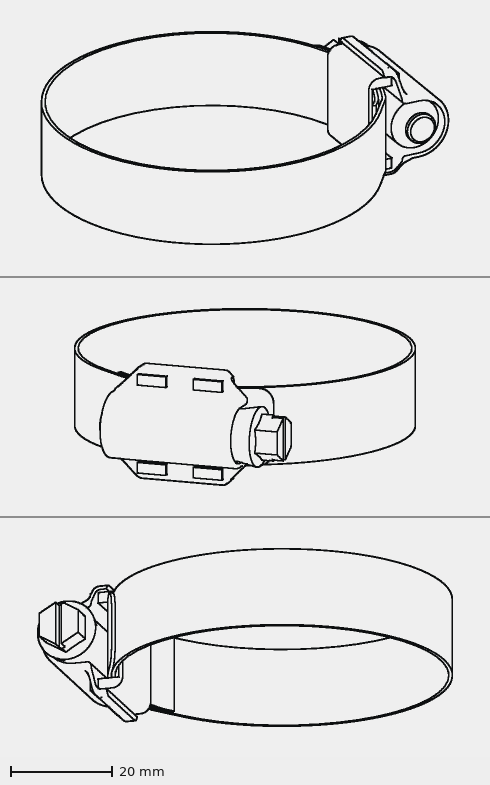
import cadquery as cq
import math


overall_length_y = 79.4

hoop_outer_diameter = 67.4
hoop_outer_radius = hoop_outer_diameter / 2
band_thickness = 0.7
band_half_width = 7.85
layer_gap = 0.04
ring_radius = hoop_outer_radius - band_thickness / 2
over_radius = ring_radius + band_thickness + layer_gap
under_radius = ring_radius - band_thickness - layer_gap
tongue_tip_radius = 32.15
over_start = -30
over_end = 23.7
ring_start = 35.1
ring_end = 368.7
under_start = 380.6
under_end = 385
tongue_tip = 390
tail_corner_radius = 3.2

hood_outer_radius = 6.7
screw_axis_y = overall_length_y - hoop_outer_radius - hood_outer_radius
head_end_x = -22.9
head_base_x = -18.3
hex_across_flats = 8.1
slot_width = 1.2
slot_depth = 2.3
hex_corner_radius = hex_across_flats / math.sqrt(3)
flange_x = -17.7
flange_radius = 6.0
worm_radius = 5.25
worm_end_x = 11.7
stub_radius = 3.1
stub_end_x = 15.1
stub_chamfer = 0.5

sheet_thickness = 1.0
housing_half_length = 13.65
hood_inner_radius = hood_outer_radius - sheet_thickness
rim_radius = 0.5
wing_top_y = 36.3
wing_bottom_y = wing_top_y - sheet_thickness
root_bend_outer = 1.6
root_bend_inner = 0.8
hook_half_width = 11.5
hook_thickness = 1.2
hook_inner_z = hook_half_width - hook_thickness
hook_end_y = 33.3
hook_bend_outer = 1.5
hook_bend_inner = 0.95
hook_corner_x = 8.8
hook_corner_radius = 1.1

saddle_half_length = 9.05
saddle_half_width = 10.0
saddle_bottom_y = 30.2
saddle_floor_thickness = 0.8
saddle_corner_radius = 2.15
tab_top_y = 37.0
tab_inner_x = 2.9
tab_outer_x = 8.9


def polar(radius, degrees):
    """Point of the hoop plane at an angle measured from +Y toward +X."""
    angle = math.radians(degrees)
    return (radius * math.sin(angle), radius * math.cos(angle))


def trace_band_face(outline, stations, offset):
    """Follow the stations: arcs where the radius stays the same, straight jogs where it changes."""
    for (radius_a, angle_a), (radius_b, angle_b) in zip(stations, stations[1:]):
        end = polar(radius_b + offset, angle_b)
        if radius_a == radius_b:
            middle = polar(radius_a + offset, (angle_a + angle_b) / 2)
            outline = outline.threePointArc(middle, end)
        else:
            outline = outline.lineTo(*end)
    return outline


def make_band(screw):
    stations = [
        (over_radius, over_start),
        (over_radius, over_end),
        (ring_radius, ring_start),
        (ring_radius, ring_end),
        (under_radius, under_start),
        (under_radius, under_end),
        (tongue_tip_radius, tongue_tip),
    ]
    half = band_thickness / 2
    outline = cq.Workplane("XY").moveTo(*polar(over_radius + half, over_start))
    outline = trace_band_face(outline, stations, half)
    outline = outline.lineTo(*polar(tongue_tip_radius - half, tongue_tip))
    outline = trace_band_face(outline, stations[::-1], -half).close()
    strip = outline.extrude(band_half_width, both=True)

    tail = polar(over_radius, over_start)
    near_tail = cq.selectors.BoxSelector(
        (tail[0] - band_thickness, tail[1] - band_thickness, -2 * band_half_width),
        (tail[0] + band_thickness, tail[1] + band_thickness, 2 * band_half_width),
    )
    radial_edges = cq.selectors.ParallelDirSelector(cq.Vector(tail[0], tail[1], 0))
    strip = strip.edges(cq.selectors.AndSelector(near_tail, radial_edges)).fillet(tail_corner_radius)

    return strip.cut(screw)


def make_screw():
    taper_end_x = -housing_half_length
    worm_tip_x = worm_end_x + worm_radius - stub_radius
    turned = (
        cq.Workplane("XY")
        .moveTo(head_base_x, 0)
        .lineTo(head_base_x, hex_across_flats / 2)
        .lineTo(flange_x, flange_radius)
        .lineTo(taper_end_x, worm_radius)
        .lineTo(worm_end_x, worm_radius)
        .lineTo(worm_tip_x, stub_radius)
        .lineTo(stub_end_x - stub_chamfer, stub_radius)
        .lineTo(stub_end_x, stub_radius - stub_chamfer)
        .lineTo(stub_end_x, 0)
        .close()
        .revolve(360, (0, 0, 0), (1, 0, 0))
    )
    hexagon = (
        cq.Workplane("YZ", origin=(head_end_x, 0, 0))
        .transformed(rotate=(0, 0, 90))
        .polygon(6, 2 * hex_corner_radius)
        .extrude(flange_x - head_end_x)
    )
    slot = cq.Workplane("XY").box(2 * slot_depth, slot_width, 2 * flange_radius)
    slot = slot.translate((head_end_x, 0, 0))
    return turned.union(hexagon).cut(slot).translate((0, screw_axis_y, 0))


def make_saddle():
    length = 2 * saddle_half_length
    block = (
        cq.Workplane("XY")
        .box(length, tab_top_y - saddle_bottom_y, 2 * saddle_half_width)
        .translate((0, (tab_top_y + saddle_bottom_y) / 2, 0))
        .edges("|X and <Y")
        .fillet(saddle_corner_radius)
    )
    floor_y = saddle_bottom_y + saddle_floor_thickness
    channel = (
        cq.Workplane("XY")
        .box(length, tab_top_y - floor_y, 2 * band_half_width)
        .translate((0, (tab_top_y + floor_y) / 2, 0))
    )
    saddle = block.cut(channel)

    tab_height = tab_top_y - wing_bottom_y
    above_arms = (
        cq.Workplane("XY")
        .box(length, tab_height, 2 * saddle_half_width)
        .translate((0, (tab_top_y + wing_bottom_y) / 2, 0))
    )
    for side in (-1, 1):
        tab_space = (
            cq.Workplane("XY")
            .box(tab_outer_x - tab_inner_x, tab_height, 2 * saddle_half_width)
            .translate((side * (tab_outer_x + tab_inner_x) / 2, (tab_top_y + wing_bottom_y) / 2, 0))
        )
        above_arms = above_arms.cut(tab_space)
    return saddle.cut(above_arms)


def sheet_half():
    """The hood, root bend, wing and hook of the +Z half, extruded along the housing."""
    diagonal = math.sqrt(0.5)

    def arc(outline, center, radius, toward, end):
        middle = (
            center[0] + toward[0] * radius * diagonal,
            center[1] + toward[1] * radius * diagonal,
        )
        return outline.threePointArc(middle, end)

    axis = (screw_axis_y, 0)
    root_outer = (wing_top_y + root_bend_outer, hood_outer_radius + root_bend_outer)
    root_inner = (wing_bottom_y + root_bend_inner, hood_inner_radius + root_bend_inner)
    hook_outer = (wing_top_y - hook_bend_outer, hook_half_width - hook_bend_outer)
    hook_inner = (wing_bottom_y - hook_bend_inner, hook_inner_z - hook_bend_inner)

    outline = cq.Workplane("YZ").moveTo(screw_axis_y + hood_outer_radius, 0)
    outline = arc(outline, axis, hood_outer_radius, (1, 1), (screw_axis_y, hood_outer_radius))
    outline = outline.lineTo(root_outer[0], hood_outer_radius)
    outline = arc(outline, root_outer, root_bend_outer, (-1, -1), (wing_top_y, root_outer[1]))
    outline = outline.lineTo(wing_top_y, hook_outer[1])
    outline = arc(outline, hook_outer, hook_bend_outer, (1, 1), (hook_outer[0], hook_half_width))
    outline = outline.lineTo(hook_end_y, hook_half_width)
    outline = outline.lineTo(hook_end_y, hook_inner_z)
    outline = outline.lineTo(hook_inner[0], hook_inner_z)
    outline = arc(outline, hook_inner, hook_bend_inner, (1, 1), (wing_bottom_y, hook_inner[1]))
    outline = outline.lineTo(wing_bottom_y, root_inner[1])
    outline = arc(outline, root_inner, root_bend_inner, (-1, -1), (root_inner[0], hood_inner_radius))
    outline = outline.lineTo(screw_axis_y, hood_inner_radius)
    outline = arc(outline, axis, hood_inner_radius, (1, 1), (screw_axis_y + hood_inner_radius, 0))
    return outline.close().extrude(housing_half_length, both=True)


def housing_plan():
    """Block with the plan outline of the housing: hood ends, then 45 degree wing ends."""
    shoulder_z = hook_half_width - (housing_half_length - hook_corner_x)
    corners = [
        (housing_half_length, -shoulder_z),
        (housing_half_length, shoulder_z),
        (hook_corner_x, hook_half_width),
        (-hook_corner_x, hook_half_width),
        (-housing_half_length, shoulder_z),
        (-housing_half_length, -shoulder_z),
        (-hook_corner_x, -hook_half_width),
        (hook_corner_x, -hook_half_width),
    ]
    hood_top_y = screw_axis_y + hood_outer_radius
    block = cq.Workplane("XZ").polyline(corners).close().extrude(-hood_top_y)
    return block.edges("|Y and (>Z or <Z)").fillet(hook_corner_radius)


def make_housing(saddle):
    upper = sheet_half()
    sheet = upper.union(upper.mirror("XY"))
    sheet = sheet.intersect(housing_plan())

    hood_rim = cq.selectors.RadiusNthSelector(-1)
    for end in ("<X", ">X"):
        sheet = sheet.faces(end).edges("%CIRCLE").edges(hood_rim).fillet(rim_radius)

    far = 2 * hood_outer_radius
    wing_middle_y = wing_top_y - sheet_thickness / 2
    top_side = cq.selectors.BoxSelector(
        (-2 * housing_half_length, wing_middle_y, -far),
        (2 * housing_half_length, wing_middle_y + far, far),
    )
    rim_edges = []
    for direction in ((1, 0, 1), (1, 0, -1), (-1, 0, 1), (-1, 0, -1)):
        slanted_end = sheet.faces(cq.selectors.DirectionSelector(cq.Vector(direction)))
        rim_edges += slanted_end.edges("not |Y").edges(top_side).vals()
    sheet = sheet.newObject(rim_edges).fillet(rim_radius)

    return sheet.cut(saddle)


screw = make_screw()
band = make_band(screw)
saddle = make_saddle()
housing = make_housing(saddle)

result = cq.Compound.makeCompound([*(body.solids().val() for body in (band, screw, saddle, housing))])